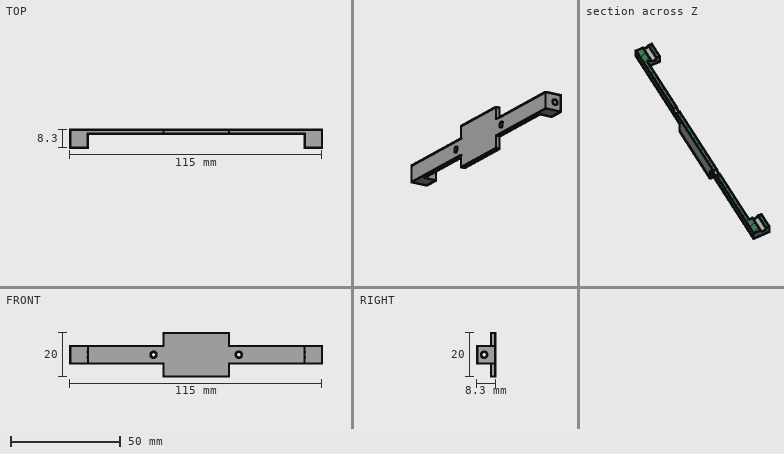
import cadquery as cq

length = 115.0
depth = 8.3
plate_width = 30.0
plate_height = 20.0

thickness = 2.0
arm_height = 8.0
block_length = 8.0

hole_diameter = 2.6
arm_hole_offset = 19.4
block_hole_from_back = 5.1

back_y = depth / 2


def back_box(width, box_depth, height, center_x=0.0):
    """Box centred on Z = 0 whose rear face lies on the back plane."""
    center = (center_x, back_y - box_depth / 2, 0)
    return cq.Workplane("XY").box(width, box_depth, height).translate(center)


result = back_box(plate_width, thickness, plate_height)
result = result.union(back_box(length, thickness, arm_height))

for side in (-1, 1):
    block_x = side * (length - block_length) / 2
    result = result.union(back_box(block_length, depth, arm_height, block_x))

arm_holes = (
    cq.Workplane("XZ")
    .pushPoints([(-arm_hole_offset, 0), (arm_hole_offset, 0)])
    .circle(hole_diameter / 2)
    .extrude(depth, both=True)
)

block_holes = (
    cq.Workplane("YZ")
    .center(back_y - block_hole_from_back, 0)
    .circle(hole_diameter / 2)
    .extrude(length, both=True)
)

result = result.cut(arm_holes).cut(block_holes)